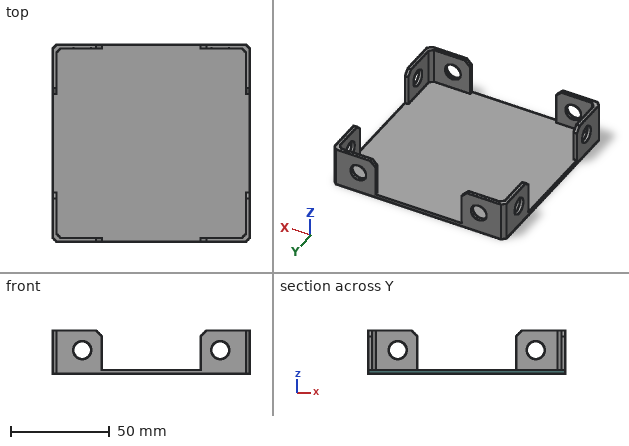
import cadquery as cq

side = 100.0
height = 22.0
floor_thickness = 2.0
wall_thickness = 2.0
outer_corner_chamfer = 2.0
inner_corner_chamfer = 2.0
tab_length = 25.0
tab_chamfer = 3.0
hole_diameter = 9.0
hole_inset = 15.0
hole_height = 12.0

half_side = side / 2
inner_side = side - 2 * wall_thickness
half_opening = half_side - tab_length
hole_offset = half_side - hole_inset
cut_reach = side


def open_tray():
    """Square tray with bevelled vertical corners inside and outside."""
    outside = (
        cq.Workplane("XY")
        .rect(side, side)
        .extrude(height)
        .edges("|Z")
        .chamfer(outer_corner_chamfer)
    )
    cavity = (
        cq.Workplane("XY")
        .workplane(offset=floor_thickness)
        .rect(inner_side, inner_side)
        .extrude(height)
        .edges("|Z")
        .chamfer(inner_corner_chamfer)
    )
    return outside.cut(cavity)


def wall_opening(plane):
    """Gap between the tabs of two opposite walls, flared at the top by the tab bevels."""
    flare_bottom = height - tab_chamfer
    flared_half_opening = half_opening + tab_chamfer
    return (
        cq.Workplane(plane)
        .moveTo(-half_opening, floor_thickness)
        .lineTo(half_opening, floor_thickness)
        .lineTo(half_opening, flare_bottom)
        .lineTo(flared_half_opening, height)
        .lineTo(-flared_half_opening, height)
        .lineTo(-half_opening, flare_bottom)
        .close()
        .extrude(cut_reach, both=True)
    )


def tab_holes(plane):
    """Pair of drills that pass through the tabs of two opposite walls."""
    return (
        cq.Workplane(plane)
        .pushPoints([(-hole_offset, hole_height), (hole_offset, hole_height)])
        .circle(hole_diameter / 2)
        .extrude(cut_reach, both=True)
    )


result = open_tray()
for wall_plane in ("XZ", "YZ"):
    result = result.cut(wall_opening(wall_plane)).cut(tab_holes(wall_plane))